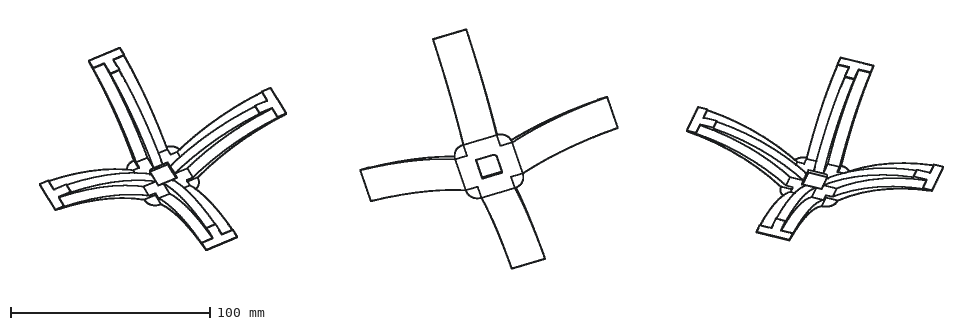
import cadquery as cq
import math

span = 130.2
height = 24.0

facet_angle = 5.0
tip_slope = 10.0
facet_count = 7
tip_plate_thickness = 0.6

arm_width = 17.6
flange_depth = 5.0
rib_width = 5.1
rib_depth = 12.0

hub_thickness = 2.0
brim_thickness = 0.3
brim_corner_radius = 6.0
hole_side = 10.5
hole_corner_radius = 1.5

start_angle = math.radians(tip_slope - facet_angle / 2)
end_angle = start_angle + math.radians(facet_angle * facet_count)
curve_drop = height - tip_plate_thickness
curve_radius = curve_drop / (math.cos(start_angle) - math.cos(end_angle))
root_radius = span / 2 - curve_radius * (math.sin(end_angle) - math.sin(start_angle))


def arm_curve(depth):
    """Facet corners from tip to root, shifted horizontally towards the hub by depth."""
    corners = []
    for i in range(facet_count + 1):
        angle = start_angle + math.radians(facet_angle * i)
        run = curve_radius * (math.sin(angle) - math.sin(start_angle))
        drop = curve_radius * (math.cos(start_angle) - math.cos(angle))
        corners.append((span / 2 - depth - run, curve_drop - drop))
    return corners


def arm_layer(depth, width):
    """Band along +X, lying between the underside and its shifted copy, with a tip plate on top."""
    tip_plate = [(span / 2 - depth, height), (span / 2, height)]
    outline = arm_curve(0) + arm_curve(depth)[::-1] + tip_plate
    return cq.Workplane("XZ").polyline(outline).close().extrude(width / 2, both=True)


def arm():
    """Flanged arm along +X with its central rib and its half of the hub plate."""
    hub_bar = cq.Workplane("XY").box(
        root_radius, arm_width, hub_thickness, centered=(False, True, False)
    )
    flange = arm_layer(flange_depth, arm_width)
    rib = arm_layer(rib_depth, rib_width)
    return hub_bar.union(flange).union(rib)


def hub_hole():
    """Square through hole with one rounded corner."""
    hole = cq.Workplane("XY").rect(hole_side, hole_side).extrude(height)
    return hole.edges("|Z and <X and <Y").fillet(hole_corner_radius)


def brim():
    """Thin rounded square under the hub, as wide as the distance between opposite arm roots."""
    plate = cq.Workplane("XY").rect(2 * root_radius, 2 * root_radius).extrude(brim_thickness)
    return plate.edges("|Z").fillet(brim_corner_radius)


result = brim()
single_arm = arm()
for turn in (0, 90, 180, 270):
    result = result.union(single_arm.rotate((0, 0, 0), (0, 0, 1), turn))
result = result.cut(hub_hole())